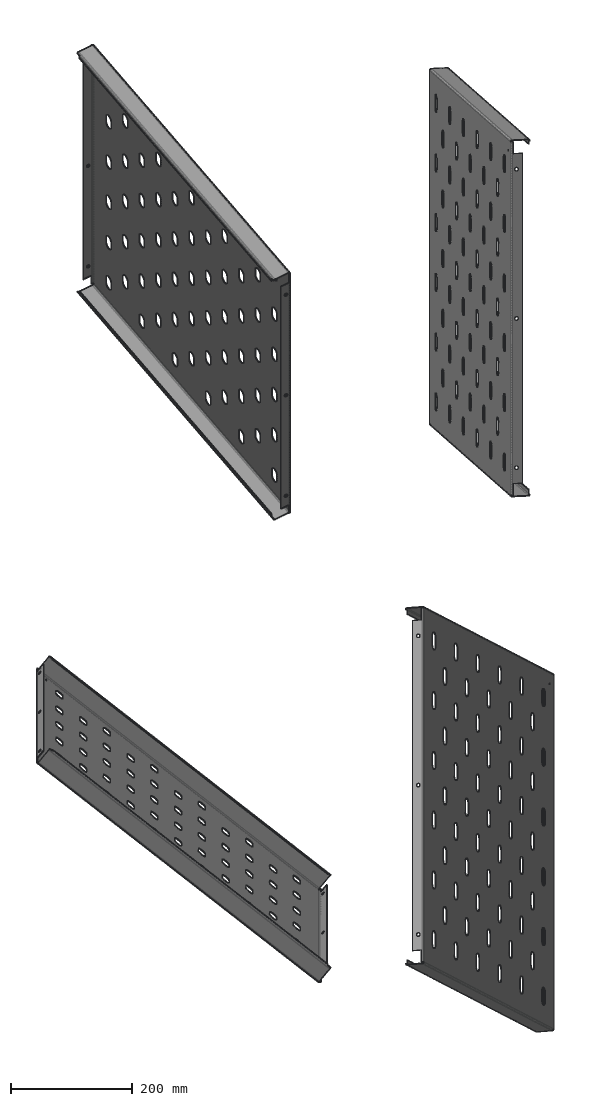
import cadquery as cq

SIZE = 598.0
DEPTH = 33.0
SHEET = 1.5
BEND_RADIUS = 3.0
INNER_BEND_RADIUS = BEND_RADIUS - SHEET

SIDE_DEPTH = 20.0
SIDE_END_GAP = 23.0
ROOT_DEPTH = 4.0

LIP_HEIGHT = 9.5
LIP_INSET = 9.0

SLOT_GRID_SPAN = 500.0
OUTER_GRID_COUNT = 6
INNER_GRID_COUNT = OUTER_GRID_COUNT - 1
SLOT_PITCH = SLOT_GRID_SPAN / INNER_GRID_COUNT
SLOT_WIDTH = 15.0
SLOT_LENGTH = 30.0

SIDE_HOLE_DIAMETER = 6.0
SIDE_HOLE_SPACING = SLOT_GRID_SPAN / 2
SIDE_HOLE_FROM_BACK = 9.5
PILOT_DIAMETER = 2.5
PILOT_OFFSET = 278.0

HALF = SIZE / 2
BACK = DEPTH / 2
FRONT = -DEPTH / 2
FLAT_HALF = HALF - BEND_RADIUS
CUT_DEPTH = 3 * SHEET


def block(x_half, y_range, z_half):
    """Box symmetric in X and Z, spanning y_range in Y."""
    y_low, y_high = y_range
    box = cq.Workplane("XY").box(2 * x_half, y_high - y_low, 2 * z_half)
    return box.translate((0, (y_low + y_high) / 2, 0))


def horizontal_channel():
    """Back sheet folded forward at top and bottom, then inward into two lips."""
    outer = block(FLAT_HALF, (FRONT, BACK), HALF)
    outer = outer.edges("|X").fillet(BEND_RADIUS)
    cavity = block(HALF, (FRONT + SHEET, BACK - SHEET), HALF - SHEET)
    cavity = cavity.edges("|X").fillet(INNER_BEND_RADIUS)

    lip_layer = (FRONT, FRONT + BEND_RADIUS)
    mouth = block(HALF, lip_layer, HALF - LIP_HEIGHT)
    lip_end_cut = block(HALF, lip_layer, FLAT_HALF).cut(block(HALF - LIP_INSET, lip_layer, HALF))
    return outer.cut(cavity).cut(mouth).cut(lip_end_cut)


def vertical_channel():
    """Back sheet folded forward at left and right, with the flange ends cut back."""
    side_front = BACK - SIDE_DEPTH
    outer = block(HALF, (side_front, BACK), FLAT_HALF)
    outer = outer.edges("|Z and >Y").fillet(BEND_RADIUS)
    cavity = block(HALF - SHEET, (side_front, BACK - SHEET), HALF)
    cavity = cavity.edges("|Z and >Y").fillet(INNER_BEND_RADIUS)

    end_layer = (side_front, BACK - ROOT_DEPTH)
    end_cut = block(HALF, end_layer, HALF).cut(block(HALF, end_layer, HALF - SIDE_END_GAP))
    return outer.cut(cavity).cut(end_cut)


def sheet_cutter_plane():
    """Plane just behind the back sheet; extruding from it goes forward."""
    return cq.Workplane("XZ", origin=(0, BACK + SHEET, 0))


def slot_grid(count):
    """Square grid of count x count upright slots through the back sheet."""
    slots = sheet_cutter_plane().rarray(SLOT_PITCH, SLOT_PITCH, count, count)
    return slots.slot2D(SLOT_LENGTH, SLOT_WIDTH, 90).extrude(CUT_DEPTH)


def side_holes():
    """Three holes in line through both side flanges."""
    y = BACK - SIDE_HOLE_FROM_BACK
    centers = [(y, row * SIDE_HOLE_SPACING) for row in (-1, 0, 1)]
    holes = cq.Workplane("YZ").pushPoints(centers)
    return holes.circle(SIDE_HOLE_DIAMETER / 2).extrude(SIZE, both=True)


def pilot_hole():
    """Single small hole through the back sheet near its top-left corner."""
    hole = sheet_cutter_plane().center(-PILOT_OFFSET, PILOT_OFFSET)
    return hole.circle(PILOT_DIAMETER / 2).extrude(CUT_DEPTH)


panel = horizontal_channel().union(vertical_channel())
for grid_count in (OUTER_GRID_COUNT, INNER_GRID_COUNT):
    panel = panel.cut(slot_grid(grid_count))

result = panel.cut(side_holes()).cut(pilot_hole())